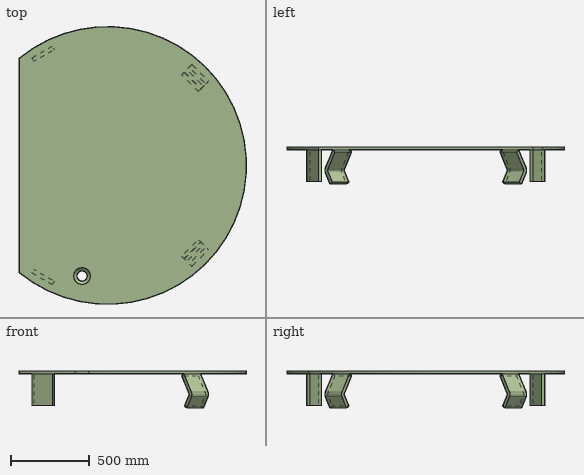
import cadquery as cq
import math

plate_diameter = 1760.0
plate_radius = plate_diameter / 2
plate_length = 1440.0
plate_thickness = 20.0
straight_edge_x = plate_radius - plate_length

hole_x = -162.0
hole_y = -700.0
hole_top_diameter = 105.0
hole_bottom_diameter = 63.0

strip_width = 150.0
strip_thickness = 25.0

tab_height = 200.0
tab_outer_radius = 829.0
tab_angles = (120, -120)

clip_upper_length = 150.0
clip_lower_length = 100.0
clip_slope = math.radians(30)
clip_inner_bend_radius = 5.0
clip_outer_bend_radius = clip_inner_bend_radius + strip_thickness
clip_bend_reach = 835.0
clip_angles = (45, -45)


def make_plate():
    """Disc with its underside at Z = 0, a straight edge and a tapered hole."""
    disc = cq.Workplane("XY").circle(plate_radius).extrude(plate_thickness)
    kept_side = (
        cq.Workplane("XY")
        .box(plate_length, plate_diameter, plate_thickness, centered=(False, True, False))
        .translate((straight_edge_x, 0, 0))
    )
    hole = cq.Workplane(
        cq.Solid.makeCone(
            hole_bottom_diameter / 2,
            hole_top_diameter / 2,
            plate_thickness,
            pnt=cq.Vector(hole_x, hole_y, 0),
        )
    )
    return disc.intersect(kept_side).cut(hole)


def make_tab(angle):
    """Upright tab under the plate, square to the radius at the given angle."""
    tab = cq.Workplane("XY").box(
        strip_thickness, strip_width, tab_height, centered=(True, True, False)
    )
    tab = tab.translate((tab_outer_radius - strip_thickness / 2, 0, -tab_height))
    return tab.rotate((0, 0, 0), (0, 0, 1), angle)


def make_clip(angle):
    """Strip bent outward, its top outer edge touching the underside of the plate."""
    run = math.sin(clip_slope)
    drop = math.cos(clip_slope)
    bend_z = -clip_upper_length * drop

    outer_bend = (clip_bend_reach, bend_z)
    outer_top = (clip_bend_reach - clip_upper_length * run, 0)
    outer_bottom = (
        clip_bend_reach - clip_lower_length * run,
        bend_z - clip_lower_length * drop,
    )
    inward = strip_thickness * drop
    rise = strip_thickness * run
    inner_top = (outer_top[0] - inward, outer_top[1] - rise)
    inner_bottom = (outer_bottom[0] - inward, outer_bottom[1] + rise)
    inner_bend = (clip_bend_reach - strip_thickness / drop, bend_z)

    clip = (
        cq.Workplane("XZ")
        .polyline([outer_top, outer_bend, outer_bottom, inner_bottom, inner_bend, inner_top])
        .close()
        .extrude(strip_width / 2, both=True)
    )
    clip = clip.edges(cq.NearestToPointSelector((outer_bend[0], 0, bend_z)))
    clip = clip.fillet(clip_outer_bend_radius)
    clip = clip.edges(cq.NearestToPointSelector((inner_bend[0], 0, bend_z)))
    clip = clip.fillet(clip_inner_bend_radius)
    return clip.rotate((0, 0, 0), (0, 0, 1), angle)


plate = make_plate()
tabs = [make_tab(angle).val() for angle in tab_angles]
clips = [make_clip(angle).val() for angle in clip_angles]

result = cq.Compound.makeCompound([plate.val(), *tabs, *clips])